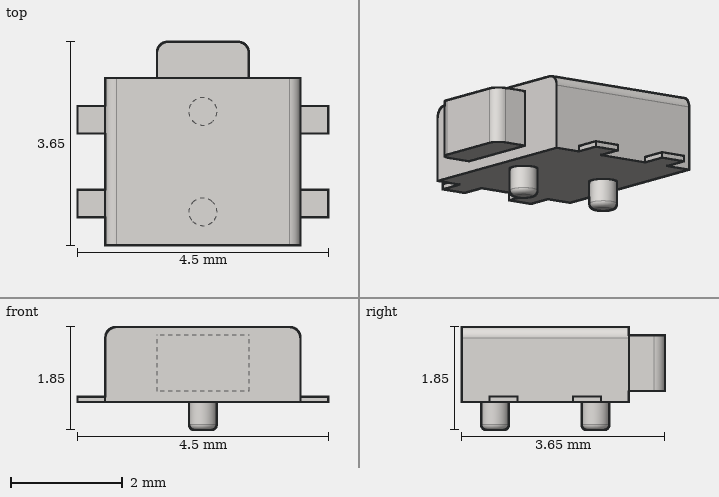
import cadquery as cq

body_width = 3.5
body_depth = 3.0
body_height = 1.35
body_edge_radius = 0.2

button_width = 1.65
button_length = 0.65
button_height = 1.0
button_bottom = 0.2
button_corner_radius = 0.2

lead_length = 0.5
lead_width = 0.5
lead_thickness = 0.1
lead_pitch = 1.5

peg_diameter = 0.5
peg_length = 0.5
peg_tip_radius = 0.1
peg_pitch = 1.8


def make_body():
    """Block with its two long top edges rounded."""
    block = cq.Workplane("XY").box(body_width, body_depth, body_height, centered=(True, True, False))
    return block.faces(">Z").edges("|Y").fillet(body_edge_radius)


def make_button():
    """Flat push button with rounded outer vertical corners."""
    block = cq.Workplane("XY").box(
        button_width, button_length, button_height, centered=(True, False, False)
    )
    rounded = block.faces(">Y").edges("|Z").fillet(button_corner_radius)
    return rounded.translate((0, body_depth / 2, button_bottom))


def make_lead(side, y):
    """Flat lead standing out from the housing; side is -1 or +1 along X."""
    lead = cq.Workplane("XY").box(lead_length, lead_width, lead_thickness, centered=(True, True, False))
    return lead.translate((side * (body_width + lead_length) / 2, y, 0))


def make_peg(y):
    """Round peg pointing down with a rounded tip."""
    peg = cq.Workplane("XY").circle(peg_diameter / 2).extrude(-peg_length)
    return peg.faces("<Z").edges().fillet(peg_tip_radius).translate((0, y, 0))


result = make_body().union(make_button())
for end in (-1, 1):
    result = result.union(make_peg(end * peg_pitch / 2))
    for side in (-1, 1):
        result = result.union(make_lead(side, end * lead_pitch / 2))